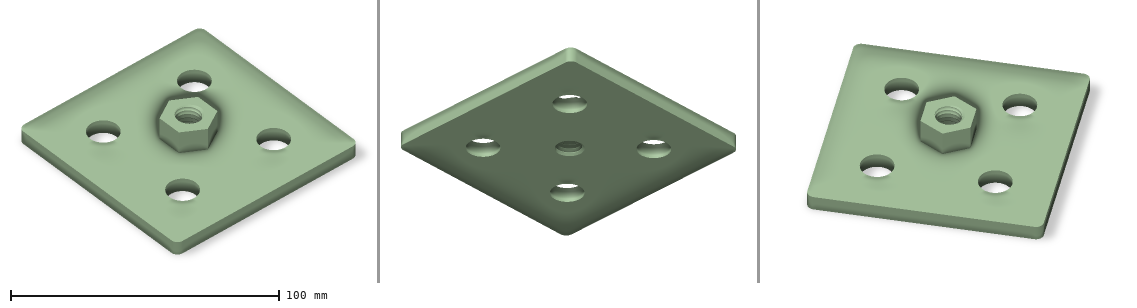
import cadquery as cq

plate_side = 90.0
plate_thickness = 6.0
corner_radius = 3.0

mount_hole_diameter = 13.0
mount_hole_spacing = plate_side / 2

total_height = 16.0
nut_corner_diameter = 22.0

thread_minor_diameter = 10.3
thread_major_diameter = 12.2
thread_pitch = 1.7
groove_width = 0.95 * thread_pitch
groove_overlap = 0.1
thread_turns = 11
thread_start_angle = 90


def make_plate():
    plate = cq.Workplane("XY").rect(plate_side, plate_side).extrude(plate_thickness)
    plate = plate.edges("|Z").fillet(corner_radius)
    return (
        plate.faces(">Z").workplane()
        .rect(mount_hole_spacing, mount_hole_spacing, forConstruction=True)
        .vertices()
        .hole(mount_hole_diameter)
    )


def make_nut():
    return cq.Workplane("XY").polygon(6, nut_corner_diameter).extrude(total_height)


def make_thread_cutter():
    """V-shaped helical groove, deepest toward +Y where it meets the top face."""
    bore_radius = thread_minor_diameter / 2
    inner_radius = bore_radius - groove_overlap
    root_radius = thread_major_diameter / 2
    half_width = groove_width / 2
    helix = cq.Wire.makeHelix(thread_pitch, thread_turns * thread_pitch, bore_radius)
    cutter = (
        cq.Workplane("XZ")
        .moveTo(inner_radius, -half_width)
        .lineTo(root_radius, 0)
        .lineTo(inner_radius, half_width)
        .close()
        .sweep(cq.Workplane(obj=helix), isFrenet=True)
    )
    bottom = total_height - (thread_turns - 1) * thread_pitch
    return cutter.rotate((0, 0, 0), (0, 0, 1), thread_start_angle).translate((0, 0, bottom))


bore = cq.Workplane("XY").circle(thread_minor_diameter / 2).extrude(total_height)
result = make_plate().union(make_nut()).cut(make_thread_cutter()).cut(bore)